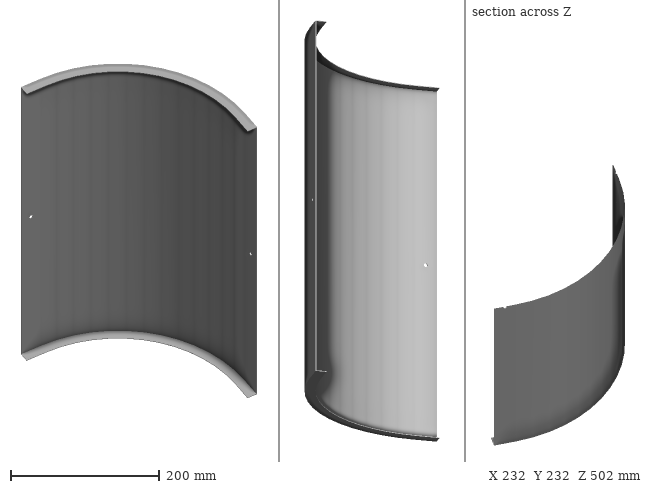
import cadquery as cq
import math

side = 232.0
height = 502.0
bend_radius = 201.0
thickness = 1.0
flange_width = 15.0
hole_diameter = 5.0

straight_length = side - bend_radius


def curved_band(depth, length):
    """Extrude a rounded L band reaching inward by depth from the outer face."""
    diagonal = math.sqrt(0.5)
    outer_mid = bend_radius - bend_radius * diagonal
    inner_mid = bend_radius - (bend_radius - depth) * diagonal
    return (
        cq.Workplane("XY")
        .moveTo(0, 0)
        .lineTo(0, straight_length)
        .threePointArc((outer_mid, side - outer_mid), (bend_radius, side))
        .lineTo(side, side)
        .lineTo(side, side - depth)
        .lineTo(bend_radius, side - depth)
        .threePointArc((inner_mid, side - inner_mid), (depth, straight_length))
        .lineTo(depth, 0)
        .close()
        .extrude(length)
    )


def strip_hole(center, direction):
    """Cutter for a round hole, centred on the outer face of a straight strip."""
    plane = cq.Plane(origin=center, normal=direction)
    return cq.Workplane(plane).circle(hole_diameter / 2).extrude(flange_width, both=True)


shell = curved_band(thickness, height)
flange = curved_band(flange_width, thickness)
for flange_bottom in (0, height - thickness):
    shell = shell.union(flange.translate((0, 0, flange_bottom)))

hole_inset = straight_length / 2
hole_height = height / 2
left_hole = strip_hole((0, hole_inset, hole_height), (1, 0, 0))
back_hole = strip_hole((side - hole_inset, side, hole_height), (0, 1, 0))

result = shell.cut(left_hole).cut(back_hole)